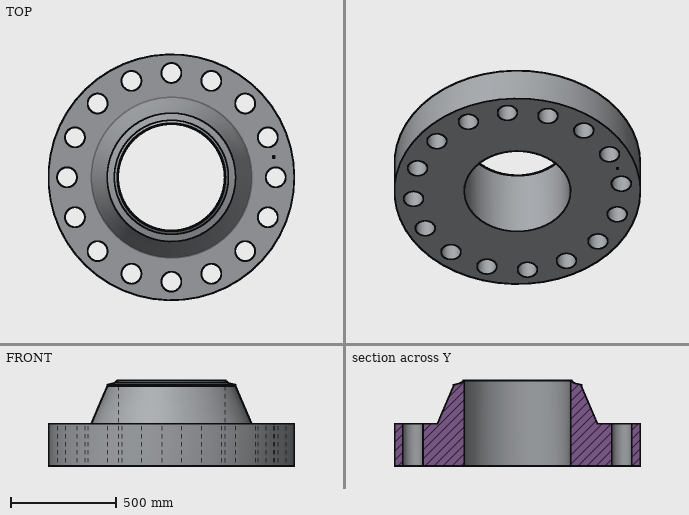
import cadquery as cq
import math


flange_radius = 584.0
flange_thickness = 202.0

total_height = 406.0
bore_radius = 252.0
hub_base_radius = 381.0
hub_top_radius = 305.0
hub_foot_fillet = 2.0
hub_rim_height = 7.0

shallow_bevel_height = 8.0
steep_bevel_height = 12.0
bevel_break_radius = 271.0
land_width = 5.0

bolt_count = 16
bolt_circle_radius = 495.0
bolt_hole_diameter = 93.0

small_hole_diameter = 7.0
small_hole_mouth_diameter = 12.0
countersink_angle = 90
small_hole_angle = math.radians(360 / bolt_count / 2)

bevel_break_z = total_height - steep_bevel_height
rim_top = bevel_break_z - shallow_bevel_height
taper_top = rim_top - hub_rim_height


def flange_body():
    """Flange, hub and weld end, revolved from one half section."""
    half_section = [
        (bore_radius, 0),
        (flange_radius, 0),
        (flange_radius, flange_thickness),
        (hub_base_radius, flange_thickness),
        (hub_top_radius, taper_top),
        (hub_top_radius, rim_top),
        (bevel_break_radius, bevel_break_z),
        (bore_radius + land_width, total_height),
        (bore_radius, total_height),
    ]
    body = cq.Workplane("XZ").polyline(half_section).close().revolve(360, (0, 0), (0, 1))
    foot_edge = body.edges(cq.selectors.RadiusNthSelector(-2))
    return foot_edge.fillet(hub_foot_fillet)


def bolt_holes():
    """Ring of through holes in the flange plate."""
    return (
        cq.Workplane("XY")
        .polarArray(bolt_circle_radius, 0, 360, bolt_count)
        .circle(bolt_hole_diameter / 2)
        .extrude(flange_thickness)
    )


def add_small_hole(body):
    """Cut a countersunk through hole between two bolt holes."""
    return (
        body.copyWorkplane(cq.Workplane("XY", origin=(0, 0, flange_thickness)))
        .center(
            bolt_circle_radius * math.cos(small_hole_angle),
            bolt_circle_radius * math.sin(small_hole_angle),
        )
        .cskHole(small_hole_diameter, small_hole_mouth_diameter, countersink_angle)
    )


result = add_small_hole(flange_body().cut(bolt_holes()))